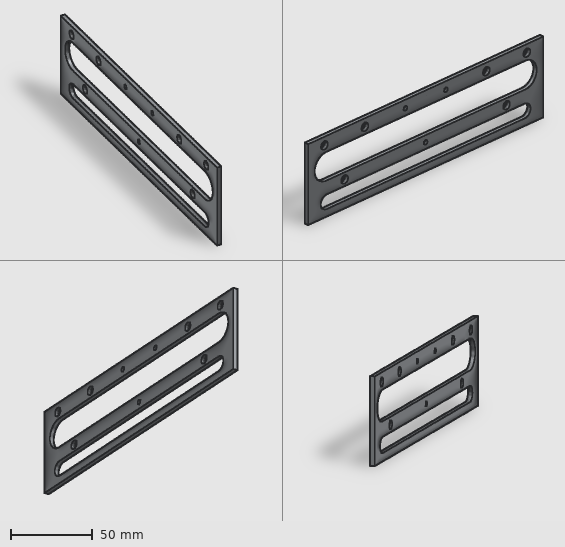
import cadquery as cq

length = 202.0
thickness = 3.0
height = 56.0

upper_slot_length = 190.5
upper_slot_height = 19.8
upper_slot_z = 35.0
lower_slot_length = 180.0
lower_slot_height = 10.0
lower_slot_z = 10.3

large_diameter = 5.7
small_diameter = 3.0
hole_pitch = 34.7
upper_row_z = 49.9
lower_row_z = 20.0


def through_cutter(profile):
    """Extrude a profile to both sides of the plate's mid-plane."""
    return profile.extrude(thickness, both=True)


def slot_cutter(slot_length, slot_height, z):
    return through_cutter(cq.Workplane("XZ").center(0, z).slot2D(slot_length, slot_height))


def hole_cutter(pitch_steps, diameter, z):
    """Holes placed at the given multiples of the pitch from the centre."""
    centers = [(step * hole_pitch, z) for step in pitch_steps]
    return through_cutter(cq.Workplane("XZ").pushPoints(centers).circle(diameter / 2))


plate = cq.Workplane("XY").box(length, thickness, height, centered=(True, True, False))

plate = plate.cut(slot_cutter(upper_slot_length, upper_slot_height, upper_slot_z))
plate = plate.cut(slot_cutter(lower_slot_length, lower_slot_height, lower_slot_z))

plate = plate.cut(hole_cutter([-2.5, -1.5, 1.5, 2.5], large_diameter, upper_row_z))
plate = plate.cut(hole_cutter([-0.5, 0.5], small_diameter, upper_row_z))
plate = plate.cut(hole_cutter([-2, 2], large_diameter, lower_row_z))
plate = plate.cut(hole_cutter([0], small_diameter, lower_row_z))

result = plate